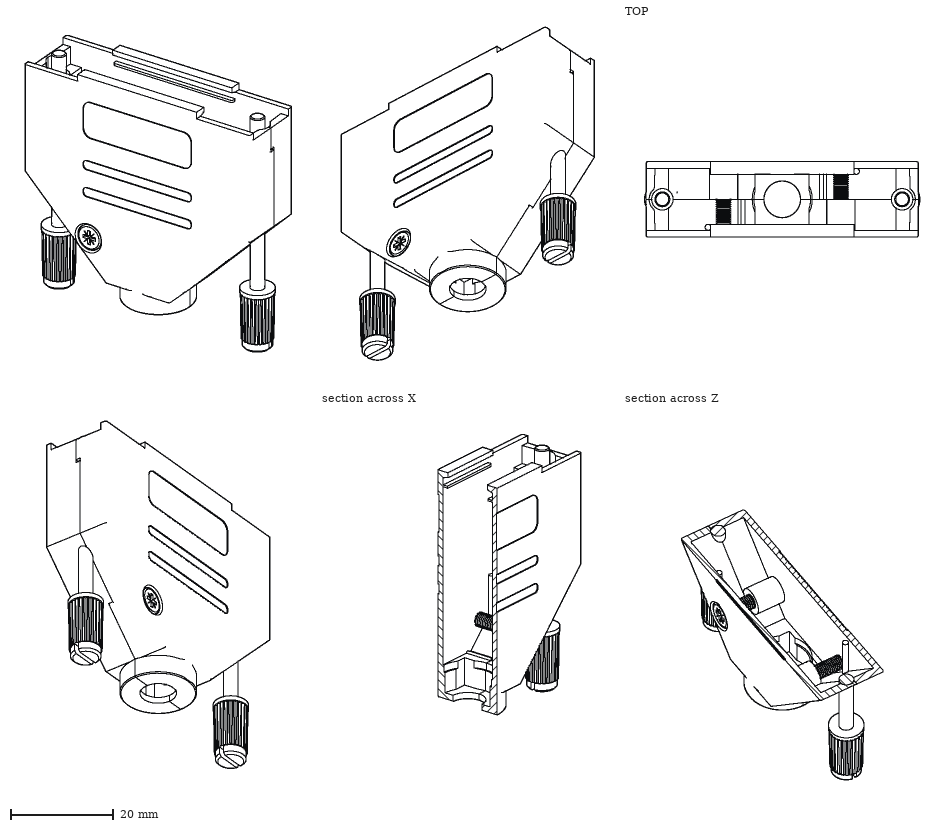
import cadquery as cq
import math


half_width = 26.7
depth = 14.85
half_depth = depth / 2
plate_top = 47.05
side_bottom = 23.3
body_bottom = 4.05
taper_foot = half_width - (side_bottom - body_bottom)
edge_round = 0.45

neck_diameter = 15.05
neck_radius = neck_diameter / 2
neck_bore_radius = 3.55
neck_floor = 1.35
neck_chamfer = 0.2

plate_thickness = 1.35
side_wall = 1.8
taper_wall = 1.35
floor_top = 7.2
end_wall_top = 45.5
cavity_depth = half_depth - plate_thickness
cavity_half_width = half_width - side_wall
taper_intercept = taper_foot - body_bottom - taper_wall * math.sqrt(2)
cavity_side_bottom = cavity_half_width - taper_intercept
floor_half_width = floor_top + taper_intercept

channel_half_width = 5.3
channel_half_depth = 4.95
channel_bore_radius = 5.55
channel_rim_radius = 5.9
channel_rim_depth = 1.5
floor_rib_x = 7.65
floor_rib_radius = 0.4

tongue_half_width = 14.1
tongue_top = 48.5
tongue_reach = 2.55
tongue_nose = 1.1
bead_reach = 1.0
bead_top = 45.6
bead_height = 0.5
bead_round = 0.5

post_x = 14.5
post_radius = 0.6
post_top = 21.6

lip_height = 1.0
lip_thickness = 0.65
lip_top = 40.2
lip_bottom = 12.7
lip_end_gap = 0.6

recess_depth = 0.2
recess_width = 25.55
label_height = 7.95
label_z = 39.15
label_round = 1.8
grip_slot_height = 2.0
grip_slot_zs = (23.0, 29.0)
grip_slot_round = 0.8

screw_x = 11.5
screw_z = 12.95
thread_radius = 1.45
thread_root_radius = 1.25
thread_pitch = 0.405
thread_turns = 24
head_radius = 2.7
head_top_radius = 2.4
head_height = 0.7
head_sunk = 0.2
head_pocket_radius = 2.75
head_pocket_rim_radius = 3.15
head_seat = half_depth - head_sunk - head_height
shank_length = thread_pitch * thread_turns
boss_radius = 2.75
cross_length = 2.95
cross_width = 0.65
cross_depth = 0.5
cross_draft_angle = 15
tick_length = 3.25
tick_width = 0.08
tick_depth = 0.08

thumb_x = 23.5
shaft_radius = 1.45
shaft_top = 47.2
shaft_chamfer = 0.2
flange_radius = 3.5
flange_top = 9.25
flange_bottom = 8.25
grip_bottom = -1.85
grip_top_radius = 3.4
grip_bottom_radius = 3.25
grip_root_radius = 3.0
grip_teeth = 24
end_radius = 3.0
end_bottom = -3.85
end_chamfer = 0.5
driver_slot_width = 0.9

shelf_reach = 4.4
shelf_top = 41.7
shelf_thickness = 1.75
clip_radius = 2.1
clip_thickness = 0.95
clip_clearance_radius = 2.6
wall_bow = 0.2


def block(x_range, y_range, z_range):
    """Box between the given limits."""
    (x0, x1), (y0, y1), (z0, z1) = x_range, y_range, z_range
    return cq.Workplane("XY").box(x1 - x0, y1 - y0, z1 - z0, centered=False).translate((x0, y0, z0))


def upright(radius, x, z_bottom, z_top):
    """Cylinder standing along Z on the parting plane."""
    return cq.Workplane("XY", origin=(x, 0, z_bottom)).circle(radius).extrude(z_top - z_bottom)


def along_y(radius, x, z, y_start, length):
    """Cylinder running toward +Y."""
    return cq.Workplane("XZ", origin=(x, y_start, z)).circle(radius).extrude(-length)


def prism_along_y(points, y_start, length):
    """Outline in X and Z, extruded toward +Y."""
    return cq.Workplane("XZ", origin=(0, y_start, 0)).polyline(points).close().extrude(-length)


def mirrored_outline(right_side):
    """Symmetric closed outline from its +X points, listed from the top down."""
    return right_side + [(-x, z) for x, z in reversed(right_side)]


def turned(body):
    """The same body half a turn about Z."""
    return body.rotate((0, 0, 0), (0, 0, 1), 180)


def shell_blank():
    """Solid +Y half with its half of the neck."""
    outline = mirrored_outline([
        (half_width, plate_top),
        (half_width, side_bottom),
        (taper_foot, body_bottom),
    ])
    blank = prism_along_y(outline, 0, half_depth)
    rim = cq.selectors.BoxSelector(
        (-half_width - 0.55, half_depth - 0.05, body_bottom - 0.55),
        (half_width + 0.55, half_depth + 0.05, plate_top - 0.55),
    )
    blank = blank.edges(rim).fillet(edge_round)
    neck = upright(neck_radius, 0, 0, floor_top).faces("<Z").chamfer(neck_chamfer)
    slab = block((-neck_radius, neck_radius), (0, half_depth), (0, floor_top))
    return blank.union(neck.intersect(slab))


def cavity():
    """Room inside the shell, the cable channel and the cable hole."""
    outline = mirrored_outline([
        (cavity_half_width, tongue_top),
        (cavity_half_width, cavity_side_bottom),
        (floor_half_width, floor_top),
    ])
    main_space = prism_along_y(outline, 0, cavity_depth)
    above_end_walls = block((-half_width, half_width), (0, cavity_depth), (end_wall_top, tongue_top))
    channel = block(
        (-channel_half_width, channel_half_width), (0, channel_half_depth), (neck_floor, floor_top)
    )
    return (
        main_space.union(above_end_walls)
        .union(channel)
        .union(upright(channel_bore_radius, 0, neck_floor, floor_top))
        .union(upright(channel_rim_radius, 0, floor_top - channel_rim_depth, floor_top))
        .union(upright(neck_bore_radius, 0, 0, floor_top))
    )


def tongue():
    """Raised plate rim with a hook reaching over the connector flange."""
    inner = half_depth - tongue_reach
    profile = [
        (half_depth, plate_top),
        (half_depth, tongue_top),
        (inner, tongue_top),
        (inner, tongue_top - tongue_nose),
        (cavity_depth, plate_top),
    ]
    return (
        cq.Workplane("YZ", origin=(-tongue_half_width, 0, 0))
        .polyline(profile).close().extrude(2 * tongue_half_width)
    )


def bead():
    """Bar below the tongue with rounded ends."""
    bar = block(
        (-tongue_half_width, tongue_half_width),
        (cavity_depth - bead_reach, cavity_depth),
        (bead_top - bead_height, bead_top),
    )
    return bar.edges("|Z and <Y").fillet(bead_round)


def locating_post():
    """Slim upright post rooted in the taper and the plate."""
    foot = post_x - taper_intercept - post_radius
    return upright(post_radius, post_x, foot, post_top).translate((0, cavity_depth - post_radius, 0))


def shelf(side):
    """Ledge on the end wall that carries the retaining clip."""
    x_wall, x_free = side * cavity_half_width, side * (half_width - shelf_reach)
    return block(
        (min(x_wall, x_free), max(x_wall, x_free)),
        (0, cavity_depth),
        (shelf_top - shelf_thickness, shelf_top),
    )


def floor_rib():
    """Half-round rib along the floor."""
    return along_y(floor_rib_radius, floor_rib_x, floor_top, 0, cavity_depth)


def lip_strip(top, bottom):
    """Outer strip of the -X side and taper, on the -Y side of the parting plane."""
    inset = half_width - lip_thickness
    knee_shift = lip_thickness * math.tan(math.pi / 8)
    foot = bottom + taper_foot - body_bottom
    outline = [
        (-half_width, top),
        (-half_width, side_bottom),
        (-foot, bottom),
        (-foot + lip_thickness * math.sqrt(2), bottom),
        (-inset, side_bottom + knee_shift),
        (-inset, top),
    ]
    return prism_along_y(outline, -lip_height, lip_height)


def clip_room(side):
    """Round clearance for the clip and a gentle bow in the end wall, both above the shelf."""
    x_wall, x_bow = side * cavity_half_width, side * (cavity_half_width + wall_bow)
    bow = (
        cq.Workplane("XY", origin=(0, 0, shelf_top))
        .moveTo(x_wall, -cavity_depth)
        .threePointArc((x_bow, 0), (x_wall, cavity_depth))
        .close()
        .extrude(end_wall_top - shelf_top)
    )
    return upright(clip_clearance_radius, side * thumb_x, shelf_top, end_wall_top).union(bow)


def face_recess(z, height, corner):
    """Shallow round-cornered recess in the plate face."""
    return (
        block(
            (-recess_width / 2, recess_width / 2),
            (half_depth - recess_depth, half_depth),
            (z - height / 2, z + height / 2),
        )
        .edges("|Y").fillet(corner)
    )


def head_pocket():
    """Clearance hole, seat and flared rim for the cover screw, about +Y."""
    rim_depth = head_pocket_rim_radius - head_pocket_radius
    profile = [
        (0, 0),
        (thread_radius, 0),
        (thread_radius, head_seat),
        (head_pocket_radius, head_seat),
        (head_pocket_radius, half_depth - rim_depth),
        (head_pocket_rim_radius, half_depth),
        (0, half_depth),
    ]
    pocket = cq.Workplane("XY").polyline(profile).close().revolve(360, (0, 0, 0), (0, 1, 0))
    return pocket.translate((screw_x, 0, screw_z))


def half_shell():
    """The +Y half: screw boss and lip toward -X, screw pocket and lip rebate toward +X."""
    shell = shell_blank().cut(cavity()).union(tongue()).union(bead()).union(floor_rib())
    shell = shell.union(locating_post())
    shell = shell.union(along_y(boss_radius, -screw_x, screw_z, 0, cavity_depth))
    shell = shell.union(lip_strip(lip_top, lip_bottom))
    shell = shell.cut(turned(lip_strip(lip_top + lip_end_gap, lip_bottom)))
    shell = shell.cut(along_y(thread_radius, -screw_x, screw_z, 0, shank_length - head_seat))
    shell = shell.cut(head_pocket())
    for side in (-1, 1):
        shell = shell.union(shelf(side))
        shell = shell.cut(upright(shaft_radius, side * thumb_x, 0, shelf_top))
        shell = shell.cut(clip_room(side))
    shell = shell.cut(face_recess(label_z, label_height, label_round))
    for slot_z in grip_slot_zs:
        shell = shell.cut(face_recess(slot_z, grip_slot_height, grip_slot_round))
    return shell


def cover_screw():
    """Screw with its head toward +Y; its thread is a stack of V-shaped rings."""
    tip = head_seat - shank_length
    profile = [(0, tip), (thread_root_radius, tip)]
    for turn in range(thread_turns):
        start = tip + turn * thread_pitch
        profile.append((thread_radius, start + thread_pitch / 2))
        profile.append((thread_root_radius, start + thread_pitch))
    head_round = head_radius - head_top_radius
    head_top = head_seat + head_height
    profile += [
        (head_radius, head_seat),
        (head_radius, head_top - head_round),
        (head_top_radius, head_top),
        (0, head_top),
    ]
    screw = cq.Workplane("XY").polyline(profile).close().revolve(360, (0, 0, 0), (0, 1, 0))
    head_face = cq.Workplane("XZ", origin=(0, head_top, 0))
    for angle in (0, 90):
        arm = head_face.transformed((0, 0, angle)).rect(cross_length, cross_width)
        screw = screw.cut(arm.extrude(cross_depth, taper=cross_draft_angle))
    for angle in (45, 135):
        tick = head_face.transformed((0, 0, angle)).rect(tick_length, tick_width)
        screw = screw.cut(tick.extrude(tick_depth))
    return screw.translate((screw_x, 0, screw_z))


def fluted_grip():
    """Slightly tapered grip with V-shaped flutes."""
    star = []
    for step in range(2 * grip_teeth):
        radius = flange_radius if step % 2 == 0 else grip_root_radius
        angle = math.pi * step / grip_teeth
        star.append((radius * math.cos(angle), radius * math.sin(angle)))
    length = flange_bottom - grip_bottom
    teeth = cq.Workplane("XY", origin=(0, 0, grip_bottom)).polyline(star).close().extrude(length)
    taper = (
        cq.Workplane("XY", origin=(0, 0, grip_bottom))
        .circle(grip_bottom_radius)
        .workplane(offset=length)
        .circle(grip_top_radius)
        .loft()
    )
    return teeth.intersect(taper)


def thumbscrew():
    """Shaft, flange, fluted grip and slotted end."""
    shaft = upright(shaft_radius, 0, flange_top, shaft_top).faces(">Z").chamfer(shaft_chamfer)
    flange = upright(flange_radius, 0, flange_bottom, flange_top)
    end = upright(end_radius, 0, end_bottom, grip_bottom).faces("<Z").chamfer(end_chamfer)
    driver_slot = block(
        (-end_radius, end_radius),
        (-driver_slot_width / 2, driver_slot_width / 2),
        (end_bottom, grip_bottom),
    )
    return fluted_grip().union(flange).union(shaft).union(end.cut(driver_slot))


def retaining_clip():
    """Ring around the shaft, resting on the shelf."""
    return (
        cq.Workplane("XY", origin=(0, 0, shelf_top))
        .circle(clip_radius).circle(shaft_radius).extrude(clip_thickness)
    )


back_shell = half_shell()
front_shell = turned(back_shell)
back_screw = cover_screw()
front_screw = turned(back_screw)

thumbscrews = []
retaining_clips = []
for side in (-1, 1):
    thumbscrews.append(thumbscrew().translate((side * thumb_x, 0, 0)).solids().val())
    retaining_clips.append(retaining_clip().translate((side * thumb_x, 0, 0)).solids().val())

result = cq.Compound.makeCompound([
    back_shell.solids().val(),
    front_shell.solids().val(),
    back_screw.solids().val(),
    front_screw.solids().val(),
    *thumbscrews,
    *retaining_clips,
])